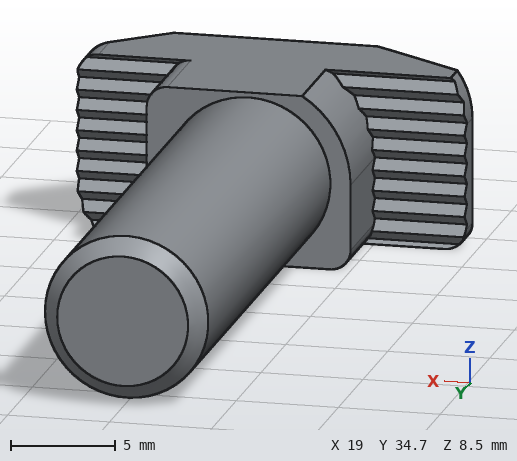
import cadquery as cq
import math

total_length = 34.7
head_width = 19.0
head_height = 8.5
corner_radius = 1.0

front_half_width = 5.9
taper_depth = 3.15
tip_arc_start = 1.95

tooth_pitch = 1.0
tooth_root_y = 4.3
tooth_tip_y = 4.8

neck_width = 10.0
neck_end_y = 9.23

shank_diameter = 8.0
shank_chamfer = 0.8

neck_radius = neck_width / 2
half_height = head_height / 2


def xz_plane(y):
    """Sketch plane at the given Y, with local axes along X and Z, facing -Y."""
    return cq.Workplane("XZ", origin=(0, y, 0))


def stock(width, start_y, end_y):
    """Rectangular bar with its lower-left and upper-right corners rounded."""
    bar = xz_plane(start_y).rect(width, head_height).extrude(start_y - end_y)
    lower_left = bar.edges("|Y").edges("<X").edges("<Z")
    bar = lower_left.fillet(corner_radius)
    upper_right = bar.edges("|Y").edges(">Z").edges(">X")
    return upper_right.fillet(corner_radius)


def turning_outline(sketch, half_width, arc_start, top):
    """Outline with quarter arcs at upper left and lower right; top is its Z limit."""
    radius = top - arc_start
    arc_center_x = half_width - radius
    arc_mid_x = arc_center_x + radius * math.cos(math.pi / 4)
    arc_mid_z = arc_start + radius * math.sin(math.pi / 4)
    return (
        sketch.moveTo(-half_width, -top)
        .lineTo(-half_width, arc_start)
        .threePointArc((-arc_mid_x, arc_mid_z), (-arc_center_x, top))
        .lineTo(half_width, top)
        .lineTo(half_width, -arc_start)
        .threePointArc((arc_mid_x, -arc_mid_z), (arc_center_x, -top))
        .close()
    )


def clamping_teeth():
    """Head envelope whose +Y side is serrated along X, with a root at Z = 0."""
    tooth_count = 2 * math.ceil(half_height / tooth_pitch)
    bottom = -tooth_count * tooth_pitch / 2
    points = [(0, bottom), (tooth_root_y, bottom)]
    for tooth in range(tooth_count):
        root_z = bottom + tooth * tooth_pitch
        points.append((tooth_tip_y, root_z + tooth_pitch / 2))
        points.append((tooth_root_y, root_z + tooth_pitch))
    points.append((0, -bottom))
    return cq.Workplane("YZ").polyline(points).close().extrude(head_width / 2, both=True)


def make_head():
    outline_top = front_half_width
    front = turning_outline(xz_plane(0), front_half_width, 0, outline_top)
    taper = turning_outline(
        front.workplane(offset=-taper_depth), head_width / 2, tip_arc_start, outline_top
    ).loft(ruled=True)
    wide = turning_outline(
        xz_plane(taper_depth), head_width / 2, tip_arc_start, outline_top
    ).extrude(taper_depth - tooth_tip_y)
    envelope = taper.union(wide)
    return envelope.intersect(stock(head_width, 0, tooth_tip_y)).intersect(clamping_teeth())


def make_neck():
    start_y = taper_depth
    outline = turning_outline(xz_plane(start_y), neck_radius, 0, neck_radius)
    return outline.extrude(start_y - neck_end_y).intersect(stock(neck_width, start_y, neck_end_y))


def make_shank():
    shank = xz_plane(neck_end_y).circle(shank_diameter / 2).extrude(neck_end_y - total_length)
    return shank.faces(">Y").chamfer(shank_chamfer)


result = make_head().union(make_neck()).union(make_shank())